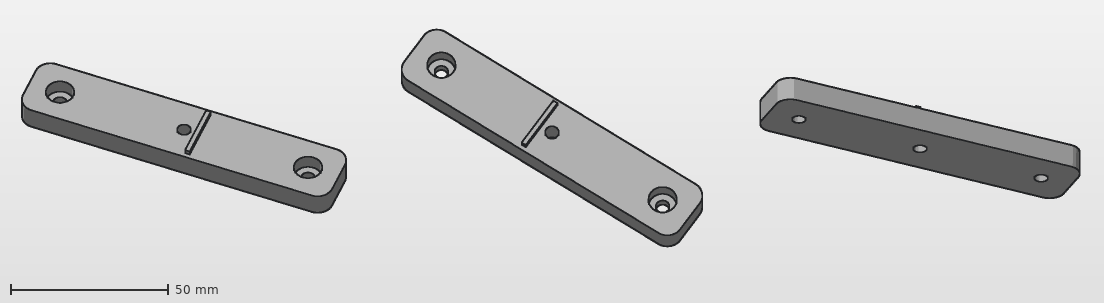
import cadquery as cq

length = 106.0
width = 21.0
total_height = 9.5
rib_height = 1.5
plate_height = total_height - rib_height
corner_radius = 5.0

hole_diameter = 4.3
counterbore_diameter = 9.0
counterbore_depth = 5.0
end_hole_offset = 42.5

rib_thickness = 1.6
rib_length = 18.0
rib_offset = 4.8


def make_plate():
    """Rounded plate resting on the XY plane."""
    block = cq.Workplane("XY").box(length, width, plate_height, centered=(True, True, False))
    return block.edges("|Z").fillet(corner_radius)


def cut_holes(body):
    """Plain centre hole and two counterbored end holes, all through."""
    body = body.faces(">Z").workplane(origin=(0, 0, plate_height)).hole(hole_diameter)
    return (
        body.faces(">Z")
        .workplane(origin=(0, 0, plate_height))
        .pushPoints([(-end_hole_offset, 0), (end_hole_offset, 0)])
        .cboreHole(hole_diameter, counterbore_diameter, counterbore_depth)
    )


def add_rib(body):
    """Narrow rib standing on the top face beside the centre hole."""
    rib = (
        cq.Workplane("XY", origin=(rib_offset, 0, plate_height))
        .box(rib_thickness, rib_length, rib_height, centered=(True, True, False))
    )
    return body.union(rib)


result = add_rib(cut_holes(make_plate()))